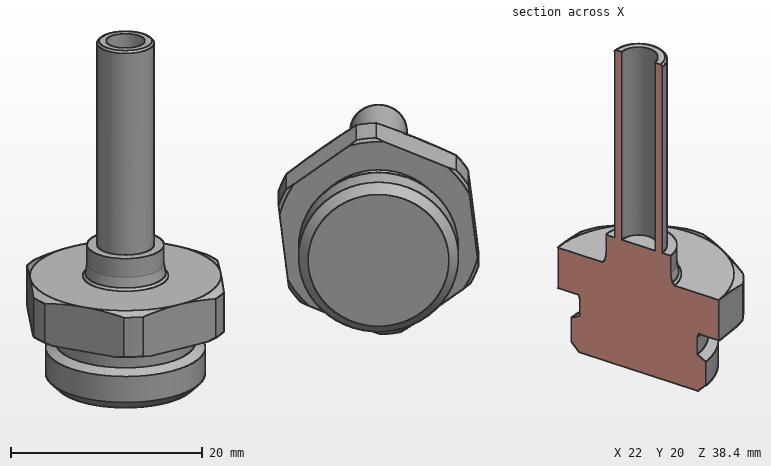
import cadquery as cq
import math

total_height = 38.4
base_chamfer = 1.0
base_top = 3.9
groove_bottom = 4.5
groove_flare_bottom = 6.6
hex_bottom = 7.0
hex_top = 12.0
collar_foot_top = 12.25
collar_taper_top = 13.4
collar_top = 15.48

base_radius = 8.37
groove_radius = 7.35
groove_flare_radius = 7.5
collar_foot_radius = 4.5
collar_taper_radius = 4.22
collar_radius = 4.05
tube_radius = 3.0
tube_edge_chamfer = 0.23
bore_radius = 2.05
bore_floor = collar_top

across_flats = 20.0
across_corners = 22.0
top_chamfer_radius = across_flats / 2
top_chamfer_drop = 0.4
bottom_chamfer_radius = 10.65
bottom_chamfer_drop = 0.2


def revolve_profile(points):
    """Revolve a closed (radius, height) outline about the Z axis."""
    return cq.Workplane("XZ").polyline(points).close().revolve(360, (0, 0), (0, 1))


def make_hexagon():
    """Hexagon with rounded corners, beveled at both ends."""
    sharp_diameter = across_flats / math.cos(math.pi / 6)
    prism = (
        cq.Workplane("XY")
        .workplane(offset=hex_bottom)
        .polygon(6, sharp_diameter)
        .extrude(hex_top - hex_bottom)
    )
    corner_radius = across_corners / 2
    envelope = revolve_profile([
        (0, hex_bottom),
        (bottom_chamfer_radius, hex_bottom),
        (corner_radius, hex_bottom + bottom_chamfer_drop),
        (corner_radius, hex_top - top_chamfer_drop),
        (top_chamfer_radius, hex_top),
        (0, hex_top),
    ])
    return prism.intersect(envelope)


def make_base():
    """Chamfered round base with a relief groove below the hexagon."""
    return revolve_profile([
        (0, 0),
        (base_radius - base_chamfer, 0),
        (base_radius, base_chamfer),
        (base_radius, base_top),
        (groove_radius, groove_bottom),
        (groove_radius, groove_flare_bottom),
        (groove_flare_radius, hex_bottom),
        (0, hex_bottom),
    ])


def make_stem():
    """Collar with a flared foot, carrying the tube."""
    return revolve_profile([
        (0, hex_top),
        (collar_foot_radius, hex_top),
        (collar_taper_radius, collar_foot_top),
        (collar_radius, collar_taper_top),
        (collar_radius, collar_top),
        (tube_radius, collar_top),
        (tube_radius, total_height - tube_edge_chamfer),
        (tube_radius - tube_edge_chamfer, total_height),
        (0, total_height),
    ])


def make_bore():
    """Blind bore running down the tube to the collar shoulder."""
    return (
        cq.Workplane("XY")
        .workplane(offset=bore_floor)
        .circle(bore_radius)
        .extrude(total_height - bore_floor)
    )


result = make_base().union(make_hexagon()).union(make_stem()).cut(make_bore())